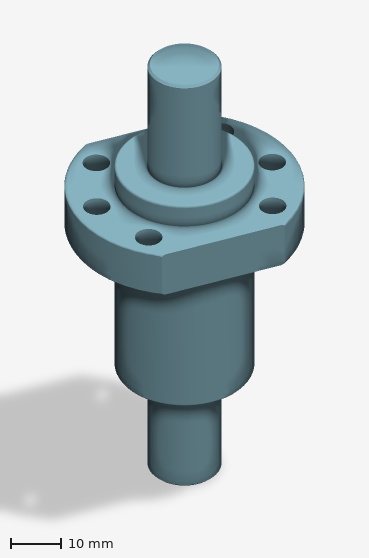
import cadquery as cq
import math

shaft_diameter = 14.8
shaft_length = 100.0

body_diameter = 28.0
body_length = 50.0

flange_diameter = 48.0
flange_width = 40.0
flange_thickness = 10.0
collar_length = 5.0

bolt_hole_diameter = 5.5
bolt_circle_diameter = 38.0
bolt_angles = [45, 90, 135, 225, 270, 315]
oil_hole_diameter = 4.92
oil_hole_angle = 112.5

shaft_chamfer = 0.5
nut_fillet = 0.5

body_bottom = (shaft_length - body_length) / 2
body_top = body_bottom + body_length
flange_top = body_top - collar_length
flange_bottom = flange_top - flange_thickness


def vertical_cylinder(diameter, length, bottom):
    """Cylinder on the Z axis, rising from the given height."""
    return cq.Workplane("XY").workplane(offset=bottom).circle(diameter / 2).extrude(length)


def end_edges(solid):
    """Select the circular edges of the bottom and top faces."""
    return solid.faces("<Z or >Z").edges("%CIRCLE")


def make_shaft():
    """Straight shaft with chamfered ends."""
    shaft = vertical_cylinder(shaft_diameter, shaft_length, 0)
    return end_edges(shaft).chamfer(shaft_chamfer)


def make_body():
    """Nut body, including the collar above the flange, with rounded end edges."""
    body = vertical_cylinder(body_diameter, body_length, body_bottom)
    return end_edges(body).fillet(nut_fillet)


def make_flange():
    """Round flange with rounded rims and two flats parallel to the YZ plane."""
    disc = vertical_cylinder(flange_diameter, flange_thickness, flange_bottom)
    flats = (
        cq.Workplane("XY")
        .workplane(offset=flange_bottom)
        .rect(flange_width, flange_diameter)
        .extrude(flange_thickness)
    )
    return end_edges(disc.intersect(flats)).fillet(nut_fillet)


def make_bolt_holes():
    """Through-hole cutters on the bolt circle."""
    bolt_radius = bolt_circle_diameter / 2
    centres = [
        (bolt_radius * math.cos(math.radians(angle)), bolt_radius * math.sin(math.radians(angle)))
        for angle in bolt_angles
    ]
    return (
        cq.Workplane("XY")
        .workplane(offset=flange_bottom)
        .pushPoints(centres)
        .circle(bolt_hole_diameter / 2)
        .extrude(flange_thickness)
    )


def make_oil_hole():
    """Radial cutter from the flange rim inward to the body radius."""
    inner_radius = body_diameter / 2
    drill = (
        cq.Workplane("YZ", origin=(inner_radius, 0, flange_bottom + flange_thickness / 2))
        .circle(oil_hole_diameter / 2)
        .extrude(flange_diameter / 2 - inner_radius)
    )
    return drill.rotate((0, 0, 0), (0, 0, 1), oil_hole_angle)


def make_bore_rounding():
    """Ring cutter that rounds the bore edge around the shaft in the top face of the body."""
    shaft_radius = shaft_diameter / 2
    arc_inset = nut_fillet * (1 - math.sqrt(0.5))
    arc_middle = (shaft_radius + arc_inset, body_top - arc_inset)
    profile = (
        cq.Workplane("XZ")
        .moveTo(shaft_radius, body_top - nut_fillet)
        .threePointArc(arc_middle, (shaft_radius + nut_fillet, body_top))
        .lineTo(shaft_radius, body_top)
        .close()
    )
    return profile.revolve(360, (0, 0, 0), (0, 1, 0))


nut = make_body().union(make_flange()).cut(make_bolt_holes()).cut(make_oil_hole())
result = nut.union(make_shaft()).cut(make_bore_rounding())